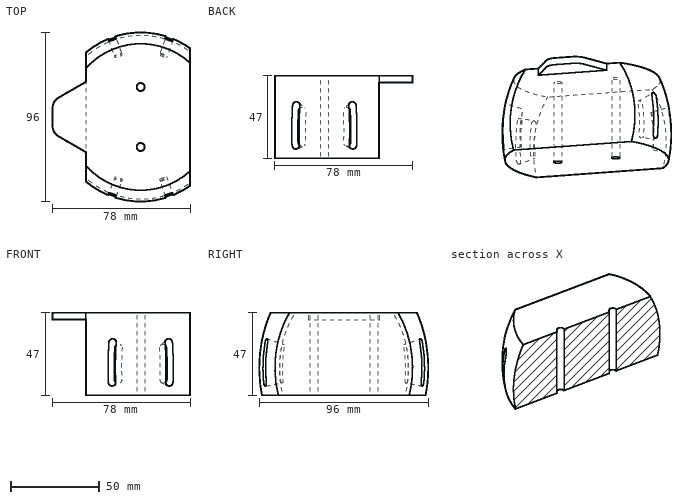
import cadquery as cq
import math

HEIGHT = 47.0
DOME_RADIUS = 48.0
DOME_SEMI_HEIGHT = 62.5
DOME_CENTER_Z = HEIGHT / 3
BACK_X = -31.0
FRONT_X = 28.0

TAB_LENGTH = 19.0
TAB_THICKNESS = 4.0
TAB_ROOT_HALF_WIDTH = 20.0
TAB_TAPER_ANGLE = 30.0
TAB_CORNER_RADIUS = 7.0

HOLE_DIAMETER = 4.4
HOLE_OFFSET_Y = 17.0

SLOT_WIDTH = 4.4
SLOT_DEPTH = 10.0
SLOT_AZIMUTH = 20.0
SLOT_UPPER_ANGLE = 17.0
SLOT_LOWER_ANGLE = -9.7
SLOT_CUTTER_REACH = DOME_RADIUS + SLOT_DEPTH


def ellipsoid(radius):
    """Ellipsoid about the dome centre, with the dome's proportions."""
    semi_height = DOME_SEMI_HEIGHT * radius / DOME_RADIUS
    half_section = (
        cq.Workplane("XZ")
        .ellipseArc(radius, semi_height, -90, 90, startAtCurrent=False)
        .close()
    )
    return half_section.revolve(360, (0, 0, 0), (0, 1, 0)).translate((0, 0, DOME_CENTER_Z))


def trimmed_dome():
    """Dome cut flat at the bottom, top, back and front."""
    length = FRONT_X - BACK_X
    envelope = (
        cq.Workplane("XY")
        .box(length, 2 * DOME_RADIUS, HEIGHT, centered=(False, True, False))
        .translate((BACK_X, 0, 0))
    )
    return ellipsoid(DOME_RADIUS).intersect(envelope)


def tab():
    """Trapezoidal plate with two rounded outer corners, rooted at the back face."""
    tip_x = BACK_X - TAB_LENGTH
    tip_half_width = TAB_ROOT_HALF_WIDTH - TAB_LENGTH * math.tan(math.radians(TAB_TAPER_ANGLE))
    outline = [
        (BACK_X, -TAB_ROOT_HALF_WIDTH),
        (BACK_X, TAB_ROOT_HALF_WIDTH),
        (tip_x, tip_half_width),
        (tip_x, -tip_half_width),
    ]
    return (
        cq.Workplane("XY")
        .workplane(offset=HEIGHT - TAB_THICKNESS)
        .polyline(outline)
        .close()
        .extrude(TAB_THICKNESS)
        .edges("|Z and <X")
        .fillet(TAB_CORNER_RADIUS)
    )


def slot_end_point(angle):
    """Far end, in the XZ plane, of a slot end axis raised by the given angle."""
    tilt = math.radians(angle)
    return SLOT_CUTTER_REACH * math.cos(tilt), SLOT_CUTTER_REACH * math.sin(tilt)


def slot_cutter():
    """Slot pointing along +X: a flat wedge from the centre, with round ends, stopped at the floor."""
    upper = slot_end_point(SLOT_UPPER_ANGLE)
    lower = slot_end_point(SLOT_LOWER_ANGLE)
    cutter = (
        cq.Workplane("XZ")
        .polyline([(0, 0), lower, upper])
        .close()
        .extrude(SLOT_WIDTH / 2, both=True)
    )
    for x, z in (upper, lower):
        round_end = cq.Solid.makeCylinder(
            SLOT_WIDTH / 2, SLOT_CUTTER_REACH, cq.Vector(0, 0, 0), cq.Vector(x, 0, z)
        )
        cutter = cutter.union(cq.Workplane(round_end))
    cutter = cutter.translate((0, 0, DOME_CENTER_Z))
    return cutter.cut(ellipsoid(DOME_RADIUS - SLOT_DEPTH))


def cut_slots(body):
    """Two slots on each curved side, placed evenly about the Y axis."""
    cutter = slot_cutter()
    for side in (90, 270):
        for azimuth in (-SLOT_AZIMUTH, SLOT_AZIMUTH):
            body = body.cut(cutter.rotate((0, 0, 0), (0, 0, 1), side + azimuth))
    return body


def cut_holes(body):
    """Two holes through the full height."""
    holes = (
        cq.Workplane("XY")
        .pushPoints([(0, -HOLE_OFFSET_Y), (0, HOLE_OFFSET_Y)])
        .circle(HOLE_DIAMETER / 2)
        .extrude(HEIGHT)
    )
    return body.cut(holes)


result = cut_holes(cut_slots(trimmed_dome().union(tab())))